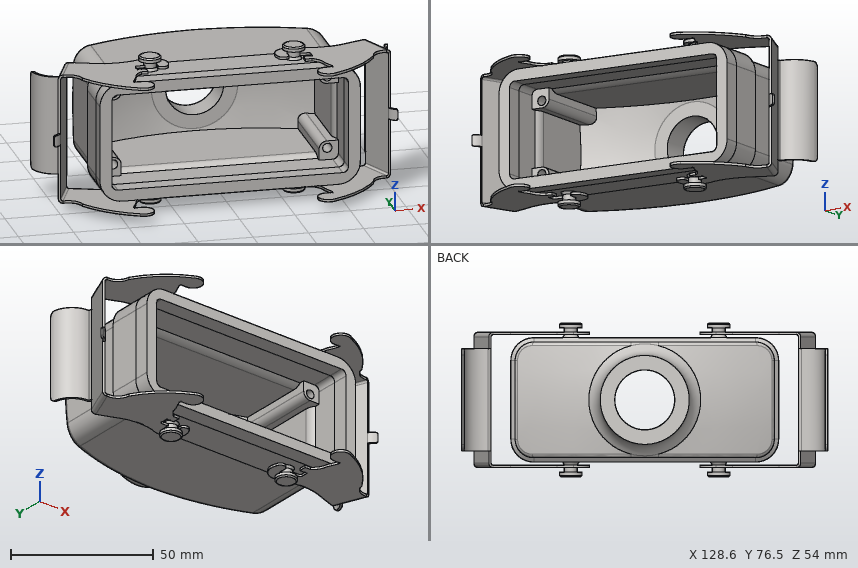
import cadquery as cq
import math

length = 128.6
total_height = 54.0

gasket_depth = 6.3
flange_end = 18.9
flange_length = 94.2
flange_height = 43.7
flange_corner = 8.1
flange_slope = 1.2
body_inset = 1.5
body_length = flange_length - 2 * body_inset
body_height = flange_height - 2 * body_inset
body_corner = flange_corner - body_inset
dome_radius = 105.5
dome_apex = 58.4
dome_rim_fillet = 1.5

mouth_length = 85.4
mouth_height = 35.2
mouth_corner = 2.0
mouth_depth = 17.1
cavity_inset = 1.3
cavity_throat = 20.7
cavity_height = mouth_height - 2 * cavity_inset
ceiling_thickness = (body_height - cavity_height) / 2

post_x = 38.7
post_z = 13.2
post_wall_x = 35.8
post_wall_z = 10.7
post_corner = 2.8
post_face = 15.0
screw_hole_diameter = 3.3
screw_hole_depth = 12.9

neck_end = 64.0
neck_diameter = 31.3
neck_bore = 21.0
neck_flare = 9.0

pin_x = 26.0
pin_y = 12.7
pin_diameter = 4.6
pin_collar_diameter = 5.8
pin_head_diameter = 8.0
pin_head_height = 1.7
pin_head_chamfer = 0.5

sheet = 0.9
lever_outside = 23.8
lever_inside = lever_outside - sheet
bend_radius = 1.7
web_bottom = cq.Vector(-60.1, 8.7, 0)
web_top = cq.Vector(-54.8, 21.6, 0)
web_length = (web_top - web_bottom).Length
along_web = (web_top - web_bottom).normalized()
web_inward = along_web.cross(cq.Vector(0, 0, 1))
upright = cq.Vector(0, 1, 0)

pin_ledge_drop = 1.0
notch_x = -31.6
notch_depth = 3.6
notch_corner = 0.8
stop_x = -28.4
stop_y = 5.1
latch_x = -35.9
latch_y = -5.0

handle_width = 36.0
handle_bend = 0.8
handle_rise = 1.0
handle_overrun = 5.0
handle_corner = 2.3
tongue_width = 4.1
tongue_bend = 3.3
tongue_sweep = 58.0
tongue_corner = 0.8


def rounded_bar(size_x, size_z, corner, start, end):
    """Bar along Y with rounded corners, from Y = start to Y = end."""
    bar = cq.Workplane("XZ", origin=(0, start, 0)).rect(size_x, size_z).extrude(start - end)
    return bar.edges("|Y").fillet(corner)


def dome_ball(radius, apex):
    """Ball that touches Y = apex; its cap is the dome."""
    return cq.Workplane("XY", origin=(0, apex - radius, 0)).sphere(radius)


def make_gasket():
    """Rim seal with the flange outline and the mouth opening."""
    rim = rounded_bar(flange_length, flange_height, flange_corner, 0, gasket_depth)
    return rim.cut(rounded_bar(mouth_length, mouth_height, mouth_corner, 0, gasket_depth))


def make_solid_hood():
    """Hood before hollowing: flange, slope down to the body, dome with rounded rim, and flared neck."""
    flange = rounded_bar(flange_length, flange_height, flange_corner, gasket_depth, flange_end)
    slope_angle = math.degrees(math.atan2(body_inset, flange_slope))
    slope = flange.faces(">Y").wires().toPending().workplane().extrude(flange_slope, taper=slope_angle)
    body = rounded_bar(body_length, body_height, body_corner, gasket_depth, neck_end)
    body = body.intersect(dome_ball(dome_radius, dome_apex).union(make_neck()))
    dome_rim = body.faces("%SPHERE").val().outerWire().Edges()
    body = body.newObject(dome_rim).fillet(dome_rim_fillet)
    return body.union(slope)


def make_neck():
    """Neck whose side flares in a quarter circle out to the dome."""
    radius = neck_diameter / 2
    flare_end = neck_end - neck_flare
    arc_step = neck_flare * math.sqrt(0.5)
    arc_middle = (radius + neck_flare - arc_step, neck_end - arc_step)
    return (
        cq.Workplane("XY")
        .moveTo(0, neck_end)
        .lineTo(radius, neck_end)
        .threePointArc(arc_middle, (radius + neck_flare, flare_end))
        .lineTo(radius + neck_flare, flange_end)
        .lineTo(0, flange_end)
        .close()
        .revolve(360, (0, 0, 0), (0, 1, 0))
    )


def make_cavity_profile(plane, mouth_half, extrude_half):
    """Cavity section along Y: a rounded shoulder on each side narrows the mouth to the cavity."""
    run = cavity_throat - mouth_depth
    shoulder_radius = (run**2 + cavity_inset**2) / (2 * cavity_inset)
    cavity_half = mouth_half - cavity_inset
    half_run = run / 2
    half_inset = shoulder_radius - math.sqrt(shoulder_radius**2 - half_run**2)
    return (
        cq.Workplane(plane)
        .moveTo(0, gasket_depth)
        .lineTo(mouth_half, gasket_depth)
        .lineTo(mouth_half, mouth_depth)
        .threePointArc((cavity_half + half_inset, cavity_throat - half_run), (cavity_half, cavity_throat))
        .lineTo(cavity_half, dome_apex)
        .lineTo(0, dome_apex)
        .mirrorY()
        .extrude(extrude_half, both=True)
    )


def make_cavity():
    """Mouth, shoulder and cavity, under a domed ceiling with a flat around the neck bore."""
    ceiling_radius = dome_radius - ceiling_thickness
    ceiling_apex = dome_apex - ceiling_thickness
    flat_drop = ceiling_radius - math.sqrt(ceiling_radius**2 - (neck_diameter / 2) ** 2)
    mouth = rounded_bar(mouth_length, mouth_height, mouth_corner, gasket_depth, ceiling_apex - flat_drop)
    lengthwise = cq.Plane.XY()
    upright_section = cq.Plane(origin=(0, 0, 0), xDir=(0, 0, 1), normal=(-1, 0, 0))
    wide = make_cavity_profile(lengthwise, mouth_length / 2, mouth_height)
    tall = make_cavity_profile(upright_section, mouth_height / 2, mouth_length)
    return mouth.intersect(wide).intersect(tall).intersect(dome_ball(ceiling_radius, ceiling_apex))


def make_posts():
    """Four screw posts with one rounded edge, reaching from post_face past the ceiling."""
    size_x = mouth_length / 2 - post_wall_x
    size_z = mouth_height / 2 - post_wall_z
    post = (
        cq.Workplane("XZ", origin=(post_wall_x, post_face, post_wall_z))
        .rect(size_x, size_z, centered=False)
        .extrude(post_face - dome_apex)
        .edges("|Y and <X and <Z")
        .fillet(post_corner)
    )
    pair = post.union(post.mirror("YZ"))
    return pair.union(pair.mirror("XY"))


def make_screw_holes():
    spots = [(x, z) for x in (-post_x, post_x) for z in (-post_z, post_z)]
    plane = cq.Workplane("XZ", origin=(0, post_face, 0))
    return plane.pushPoints(spots).circle(screw_hole_diameter / 2).extrude(-screw_hole_depth)


def make_hood():
    """Hollow hood with screw posts and a bore through the neck."""
    bore = cq.Workplane("XZ").circle(neck_bore / 2).extrude(-neck_end)
    room = make_cavity().cut(make_posts())
    return make_solid_hood().cut(room).cut(make_screw_holes()).cut(bore)


def make_pin(x, side):
    """Headed pin standing on the flange face; side is 1 for the upper face, -1 for the lower one."""
    base = flange_height / 2
    top = total_height / 2
    head_base = top - pin_head_height
    shank = pin_diameter / 2
    head = pin_head_diameter / 2
    pin = (
        cq.Workplane("XZ")
        .moveTo(0, base)
        .lineTo(pin_collar_diameter / 2, base)
        .lineTo(shank, lever_inside)
        .lineTo(shank, head_base)
        .lineTo(head, head_base)
        .lineTo(head, top - pin_head_chamfer)
        .lineTo(head - pin_head_chamfer, top)
        .lineTo(0, top)
        .close()
        .revolve(360, (0, 0, 0), (0, 1, 0))
    )
    if side < 0:
        pin = pin.mirror("XY")
    return pin.translate((x, pin_y, 0))


def flat_point(vector):
    return (vector.x, vector.y)


def direction(degrees):
    return cq.Vector(math.cos(math.radians(degrees)), math.sin(math.radians(degrees)), 0)


def bent_strip(center, radius, start, end, width):
    """Sheet bent to an arc about a Z axis between two angles, centred on Z = 0."""
    outer = radius + sheet / 2
    inner = radius - sheet / 2
    middle = (start + end) / 2
    return (
        cq.Workplane("XY", origin=(0, 0, -width / 2))
        .moveTo(*flat_point(center + direction(start) * inner))
        .threePointArc(
            flat_point(center + direction(middle) * inner), flat_point(center + direction(end) * inner)
        )
        .lineTo(*flat_point(center + direction(end) * outer))
        .threePointArc(
            flat_point(center + direction(middle) * outer), flat_point(center + direction(start) * outer)
        )
        .close()
        .extrude(width)
    )


def straight_strip(start, end, width):
    """Straight piece of sheet between two mid-sheet points, centred on Z = 0."""
    plane = cq.Plane(origin=start, xDir=(0, 0, 1), normal=end - start)
    return cq.Workplane(plane).rect(width, sheet).extrude((end - start).Length)


def make_channel(inset, radius):
    """Bar along the web, set inside the lever's outer faces by inset, with rounded long edges."""
    plane = cq.Plane(origin=web_bottom + web_inward * inset, xDir=web_inward, normal=along_web)
    depth = 4 * bend_radius
    width = 2 * (lever_outside - inset)
    bar = cq.Workplane(plane).center(depth / 2, 0).rect(depth, width).extrude(web_length)
    return bar.edges(cq.selectors.ParallelDirSelector(along_web)).fillet(radius)


def make_web():
    """Slanted web of the lever with the rounded bends into its two legs."""
    plane = cq.Plane(origin=web_bottom, xDir=web_inward, normal=along_web)
    bends = (
        cq.Workplane(plane)
        .center(bend_radius / 2, 0)
        .rect(bend_radius, 2 * lever_outside)
        .extrude(web_length)
    )
    return bends.intersect(make_channel(0, bend_radius)).cut(make_channel(sheet, bend_radius - sheet))


def make_leg():
    """Flat upper leg, outlined clockwise from the top of the web."""
    hole_radius = pin_diameter / 2
    ledge_y = pin_y - pin_ledge_drop
    ledge_x = -pin_x - math.sqrt(hole_radius**2 - pin_ledge_drop**2)
    notch_base = ledge_y - notch_depth
    return (
        cq.Workplane("XY", origin=(0, 0, lever_inside))
        .moveTo(*flat_point(web_top + web_inward * bend_radius))
        .lineTo(-47.1, 18.8)
        .threePointArc((-38.6, 16.6), (-30.9, 17.4))
        .threePointArc((-27.9, 18.3), (-25.0, 18.4))
        .threePointArc((-20.3, 16.1), (-19.8, 10.7))
        .threePointArc((-21.5, 8.9), (-23.7, 9.9))
        .lineTo(-pin_x + hole_radius, pin_y)
        .threePointArc((-pin_x, pin_y + hole_radius), (ledge_x, ledge_y))
        .lineTo(notch_x + notch_corner, ledge_y)
        .radiusArc((notch_x, ledge_y - notch_corner), -notch_corner)
        .lineTo(notch_x, notch_base)
        .lineTo(stop_x, notch_base)
        .lineTo(stop_x, stop_y)
        .lineTo(-30.9, stop_y)
        .threePointArc((-32.9, 3.1), (-34.1, 0.0))
        .lineTo(latch_x, -4.1)
        .lineTo(latch_x, latch_y)
        .lineTo(-33.3, latch_y)
        .threePointArc((-29.8, -10.0), (-35.2, -12.0))
        .threePointArc((-45.7, -5.1), (-52.6, 3.3))
        .threePointArc((-54.7, 7.1), flat_point(web_bottom + web_inward * bend_radius))
        .close()
        .extrude(sheet)
    )


def make_handle():
    """Curled finger grip: a tight bend off the top of the web, then a wide arc up to the free end."""
    web_middle = web_top + web_inward * (sheet / 2)
    rise_start = web_middle - upright * (abs(web_inward.y) * sheet / 2)
    bend_start = web_middle + upright * handle_rise
    bend_center = bend_start - cq.Vector(handle_bend, 0, 0)
    grip_radius = length / 2 - sheet / 2 + bend_center.x
    grip_center = bend_center + upright * (handle_bend + grip_radius)
    rise = straight_strip(rise_start, bend_start, handle_width)
    bend = bent_strip(bend_center, handle_bend, 0, 90, handle_width)
    tip_angle = 180 - handle_overrun
    grip = bent_strip(grip_center, grip_radius, tip_angle, 270, handle_width)
    across_tip = cq.selectors.ParallelDirSelector(direction(tip_angle))
    grip = grip.edges(across_tip).fillet(handle_corner)
    return rise.union(bend).union(grip)


def make_tongue():
    """Narrow tongue that curls outwards from the bottom of the web, with rounded tip corners."""
    web_middle = web_bottom + web_inward * (sheet / 2)
    bend_center = web_middle - web_inward * tongue_bend
    web_angle = math.degrees(math.atan2(web_inward.y, web_inward.x))
    tip_angle = web_angle - tongue_sweep
    tongue = bent_strip(bend_center, tongue_bend, web_angle, tip_angle, tongue_width)
    across_tip = cq.selectors.ParallelDirSelector(direction(tip_angle))
    return tongue.edges(across_tip).fillet(tongue_corner)


def make_lever(side):
    """Locking lever at the -X end (side -1) or the +X end (side 1)."""
    leg = make_leg()
    lever = make_web().union(leg).union(leg.mirror("XY")).union(make_handle()).union(make_tongue())
    return lever if side < 0 else lever.mirror("YZ")


gasket = make_gasket()
hood = make_hood()
pins = [make_pin(x, side) for x in (-pin_x, pin_x) for side in (-1, 1)]
levers = [make_lever(side) for side in (-1, 1)]

result = cq.Compound.makeCompound(
    [hood.val(), gasket.val(), *[pin.val() for pin in pins], *[lever.val() for lever in levers]]
)